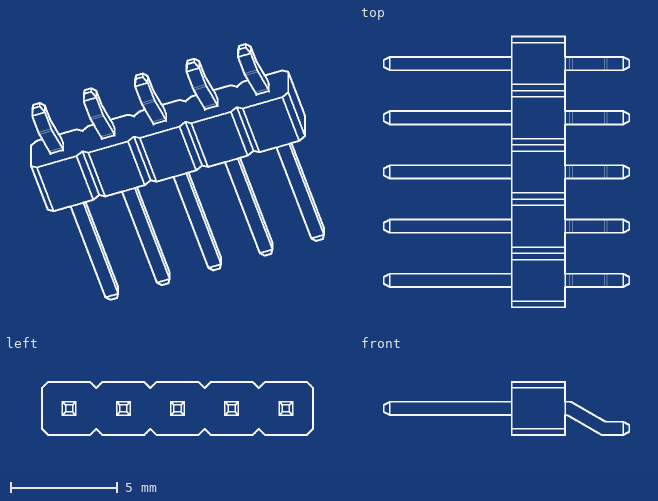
import cadquery as cq
import math


pin_count = 5
row_length = 12.7
pitch = row_length / pin_count
housing_size = 2.5
corner_chamfer = 0.29

pin_thickness = 0.64
contact_length = 6.0
tail_length = 3.01
bend_start = 0.19
bend_angle = math.radians(30)
bend_radius = 0.25
tip_taper_length = 0.29
tip_width = 0.33

half_housing = housing_size / 2
half_pin = pin_thickness / 2
half_tip = tip_width / 2
contact_end = -half_housing - contact_length
tail_end = half_housing + tail_length
contact_shoulder = contact_end + tip_taper_length
tail_shoulder = tail_end - tip_taper_length
tail_drop = half_housing - half_pin
first_bend = half_housing + bend_start
second_bend = first_bend + tail_drop / math.tan(bend_angle)
miter_shift = half_pin * math.tan(bend_angle / 2)
pin_positions = [(i - (pin_count - 1) / 2) * pitch for i in range(pin_count)]


def make_housing_block(y):
    """One pitch of the housing, an octagonal bar along X centred on y."""
    return (
        cq.Workplane("XY")
        .box(housing_size, pitch, housing_size)
        .edges("|X")
        .chamfer(corner_chamfer)
        .translate((0, y, 0))
    )


def make_housing():
    """Row of chamfered blocks, which leaves V notches between pins, with a square hole for each pin."""
    housing = make_housing_block(pin_positions[0])
    for y in pin_positions[1:]:
        housing = housing.union(make_housing_block(y))
    for y in pin_positions:
        hole = cq.Workplane("XY").box(housing_size, pin_thickness, pin_thickness).translate((0, y, 0))
        housing = housing.cut(hole)
    return housing.solids()


def make_pin_side_form():
    """Bent and tapered outline in XZ, extruded across the pin's width, with rounded bends."""
    form = (
        cq.Workplane("XZ")
        .moveTo(contact_end, half_tip)
        .lineTo(contact_shoulder, half_pin)
        .lineTo(first_bend + miter_shift, half_pin)
        .lineTo(second_bend + miter_shift, half_pin - tail_drop)
        .lineTo(tail_shoulder, half_pin - tail_drop)
        .lineTo(tail_end, half_tip - tail_drop)
        .lineTo(tail_end, -half_tip - tail_drop)
        .lineTo(tail_shoulder, -half_pin - tail_drop)
        .lineTo(second_bend - miter_shift, -half_pin - tail_drop)
        .lineTo(first_bend - miter_shift, -half_pin)
        .lineTo(contact_shoulder, -half_pin)
        .lineTo(contact_end, -half_tip)
        .close()
        .extrude(half_pin, both=True)
    )
    middle_of_foot = (second_bend + tail_shoulder) / 2
    bend_edges = form.edges("|Y").filter(lambda edge: half_housing < edge.Center().x < middle_of_foot)
    return form.newObject(bend_edges.vals()).fillet(bend_radius)


def make_pin_top_form():
    """Straight outline in XY, tapered at both ends, tall enough to cover the bent pin."""
    return (
        cq.Workplane("XY")
        .moveTo(contact_end, half_tip)
        .lineTo(contact_shoulder, half_pin)
        .lineTo(tail_shoulder, half_pin)
        .lineTo(tail_end, half_tip)
        .lineTo(tail_end, -half_tip)
        .lineTo(tail_shoulder, -half_pin)
        .lineTo(contact_shoulder, -half_pin)
        .lineTo(contact_end, -half_tip)
        .close()
        .extrude(housing_size, both=True)
    )


def make_pin(y):
    """One bent square pin with pyramid tips, centred on y."""
    return make_pin_side_form().intersect(make_pin_top_form()).translate((0, y, 0)).solids()


housing = make_housing()
pins = [make_pin(y) for y in pin_positions]

result = cq.Compound.makeCompound([housing.val(), *[pin.val() for pin in pins]])